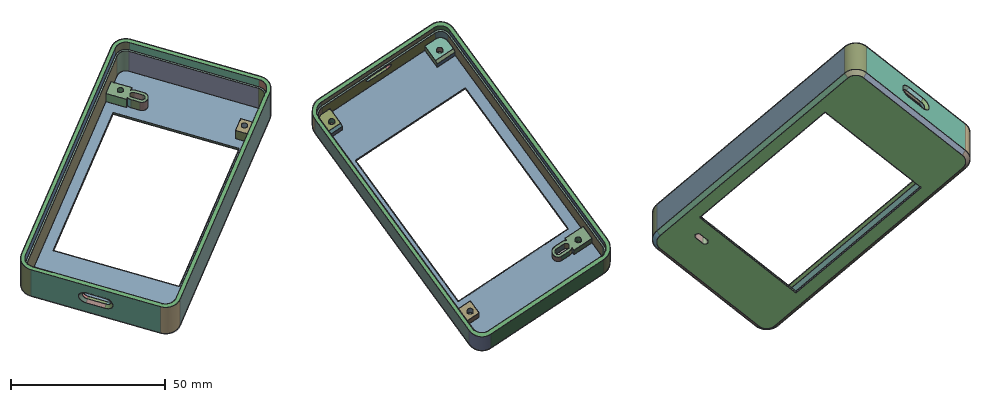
import cadquery as cq

LENGTH_X = 54.4
LENGTH_Y = 97.4
HEIGHT = 16.0
CORNER_RADIUS = 5.0
BOTTOM_CHAMFER = 1.4
WALL = 2.0
FLOOR = 1.0

RIM_WALL = 1.4
RIM_DEPTH = 4.0

WINDOW_X = 43.2
WINDOW_Y = 58.3
WINDOW_CENTER_Y = 0.35

POST_TOP_Z = 5.5
POST_HOLE_DIAMETER = 2.0
POST_HOLE_X = 21.25
LEFT_POST_EDGE_X = -18.1
RIGHT_POST_EDGE_X = 19.2
BACK_POST_HOLE_Y = 35.65
BACK_POST_WIDTH = 5.0
BACK_POST_CENTER_Y = 35.3
FRONT_POST_HOLE_Y = -42.8
FRONT_POST_EDGE_Y = -39.7
FRONT_POST_CHAMFER = 1.0

COLLAR_CENTER_X = -15.25
COLLAR_CENTER_Y = 35.2
SLOT_SPACING = 3.1
SLOT_WIDTH = 2.0
COLLAR_WALL = 1.0

PORT_LENGTH = 9.8
PORT_HEIGHT = 3.4
PORT_CENTER_Z = 9.1
PORT_FLARE = 1.0

INNER_X = LENGTH_X / 2 - WALL
INNER_Y = LENGTH_Y / 2 - WALL


def inset_block(inset, bottom_z, top_z):
    """Rounded block that follows the outer outline, moved inward by inset."""
    return (
        cq.Workplane("XY", origin=(0, 0, bottom_z))
        .rect(LENGTH_X - 2 * inset, LENGTH_Y - 2 * inset)
        .extrude(top_z - bottom_z)
        .edges("|Z")
        .fillet(CORNER_RADIUS - inset)
    )


def box_between(x_range, y_range, z_range):
    """Box given by its low and high limits along each axis."""
    sizes = [high - low for low, high in (x_range, y_range, z_range)]
    low_corner = (x_range[0], y_range[0], z_range[0])
    return cq.Workplane("XY", origin=low_corner).box(*sizes, centered=False)


def make_shell():
    shell = inset_block(0, 0, HEIGHT).faces("<Z").chamfer(BOTTOM_CHAMFER)
    shell = shell.cut(inset_block(WALL, FLOOR, HEIGHT))
    return shell.cut(inset_block(RIM_WALL, HEIGHT - RIM_DEPTH, HEIGHT))


def make_window():
    return (
        cq.Workplane("XY")
        .center(0, WINDOW_CENTER_Y)
        .rect(WINDOW_X, WINDOW_Y)
        .extrude(FLOOR)
    )


def make_posts():
    """Four posts; the front pair fills the corners and has a chamfered back edge."""
    z_range = (0, POST_TOP_Z)
    back_y_range = (
        BACK_POST_CENTER_Y - BACK_POST_WIDTH / 2,
        BACK_POST_CENTER_Y + BACK_POST_WIDTH / 2,
    )
    front_y_range = (-INNER_Y, FRONT_POST_EDGE_Y)
    posts = cq.Workplane("XY")
    for x_range in ((-INNER_X, LEFT_POST_EDGE_X), (RIGHT_POST_EDGE_X, INNER_X)):
        back_post = box_between(x_range, back_y_range, z_range)
        front_post = box_between(x_range, front_y_range, z_range)
        front_post = front_post.edges(">Y and >Z").chamfer(FRONT_POST_CHAMFER)
        posts = posts.add(back_post).add(front_post)
    return posts.combine().intersect(inset_block(WALL, 0, HEIGHT))


def make_post_holes():
    hole_centers = [
        (x, y)
        for x in (-POST_HOLE_X, POST_HOLE_X)
        for y in (FRONT_POST_HOLE_Y, BACK_POST_HOLE_Y)
    ]
    return (
        cq.Workplane("XY", origin=(0, 0, FLOOR))
        .pushPoints(hole_centers)
        .circle(POST_HOLE_DIAMETER / 2)
        .extrude(POST_TOP_Z - FLOOR)
    )


def make_slot(width):
    """Upright slot-shaped prism from the underside up to the post tops."""
    return (
        cq.Workplane("XY")
        .center(COLLAR_CENTER_X, COLLAR_CENTER_Y)
        .slot2D(SLOT_SPACING + width, width)
        .extrude(POST_TOP_Z)
    )


def make_port():
    """Opening through the front wall that widens toward the outside."""
    port = (
        cq.Workplane("XZ", origin=(0, -INNER_Y, PORT_CENTER_Z))
        .slot2D(PORT_LENGTH, PORT_HEIGHT)
        .extrude(WALL)
    )
    flare_start_y = -LENGTH_Y / 2 + PORT_FLARE
    flare = (
        cq.Workplane("XZ", origin=(0, flare_start_y, PORT_CENTER_Z))
        .slot2D(PORT_LENGTH, PORT_HEIGHT)
        .workplane(offset=PORT_FLARE)
        .slot2D(PORT_LENGTH + 2 * PORT_FLARE, PORT_HEIGHT + 2 * PORT_FLARE)
        .loft(ruled=True)
    )
    return port.union(flare)


result = (
    make_shell()
    .cut(make_window())
    .union(make_posts())
    .union(make_slot(SLOT_WIDTH + 2 * COLLAR_WALL))
    .cut(make_post_holes())
    .cut(make_slot(SLOT_WIDTH))
    .cut(make_port())
)